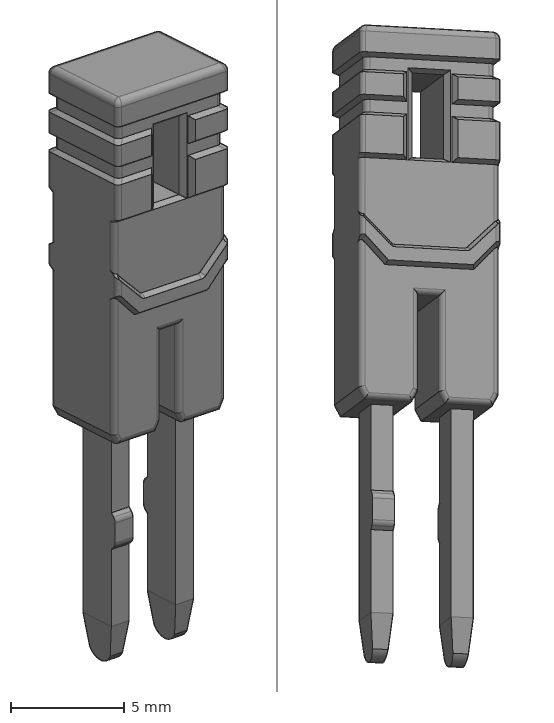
import cadquery as cq

height = 28.2
width_x = 4.9
width_y = 6.4

body_x = 4.4
body_bottom = 11.4
edge_radius = 0.25
leg_corner_width = 0.28
leg_corner_height = 0.5
slot_width = 0.95
slot_top = 16.22

core_y = 5.95
ring_corner_radius = 0.23
flank_height = 0.17
top_radius = 0.35
cap_bottom = 26.93
ring_height = 1.02
groove_gap = 0.9
block_bottom = 22.4

window_width = 1.45
window_bottom = block_bottom
window_top = 26.2
window_flare_side = 0.25
window_flare_end = 0.17
window_flare_depth = 0.25
channel_floor_width = 2.1
channel_mouth_width = 2.48

band_upper_half = 1.6
band_upper_z = 18.55
band_lower_half = 2.1
band_lower_z = 17.3
band_upper_end_z = 19.85
band_lower_end_z = 18.45
band_flank_angle = 33.0

pin_x = 1.97
pin_y = 1.02
pin_offset = 1.83
pin_root = body_bottom + 1.4
tip_start = 2.03
tip_arc_start = 0.45
tip_x = 1.45
tip_y = 0.62
bump_reach = 0.268
bump_bottom = 5.75
bump_top = 7.53
bump_slope = 0.25
bump_radius = 0.35

band_root_x = body_x / 2 - edge_radius
band_rise = width_x / 2 - band_root_x
ring_top = cap_bottom - groove_gap
ring_bottom = ring_top - ring_height
block_top = ring_bottom - groove_gap
body_top = block_bottom - flank_height


def rounded_section(x_size, y_size, radius):
    return cq.Sketch().rect(x_size, y_size).vertices().fillet(radius)


OUTER = rounded_section(width_x, width_y, ring_corner_radius)
CORE = rounded_section(body_x, core_y, edge_radius)
BODY = rounded_section(body_x, width_y, edge_radius)


def column(section, z_low, z_high):
    return cq.Workplane("XY", origin=(0, 0, z_low)).placeSketch(section).extrude(z_high - z_low)


def flank(section_low, section_high, z_low):
    """Sloped transition between two sections, one flank height tall."""
    raised = section_high.moved(cq.Location(cq.Vector(0, 0, flank_height)))
    return cq.Workplane("XY", origin=(0, 0, z_low)).placeSketch(section_low, raised).loft(ruled=True)


def make_body():
    half_y = width_y / 2
    half_slot = slot_width / 2
    corner_z = body_bottom + leg_corner_height
    body = (
        cq.Workplane("YZ", origin=(-body_x / 2, 0, 0))
        .moveTo(-half_y, body_top)
        .lineTo(-half_y, corner_z)
        .lineTo(-half_y + leg_corner_width, body_bottom)
        .lineTo(-half_slot - leg_corner_width, body_bottom)
        .lineTo(-half_slot, corner_z)
        .lineTo(-half_slot, slot_top)
        .lineTo(half_slot, slot_top)
        .lineTo(half_slot, corner_z)
        .lineTo(half_slot + leg_corner_width, body_bottom)
        .lineTo(half_y - leg_corner_width, body_bottom)
        .lineTo(half_y, corner_z)
        .lineTo(half_y, body_top)
        .close()
        .extrude(body_x)
    )
    rim = body.faces("<X or >X").edges()
    rim = rim.filter(lambda edge: edge.Center().z < body_top - flank_height)
    return rim.fillet(edge_radius)


def make_head():
    head = column(CORE, body_top, cap_bottom)
    cap = column(OUTER, cap_bottom, height).faces(">Z").edges().fillet(top_radius)
    head = head.union(cap).union(flank(CORE, OUTER, cap_bottom - flank_height))
    head = head.union(flank(CORE, OUTER, ring_bottom - flank_height))
    head = head.union(column(OUTER, ring_bottom, ring_top))
    head = head.union(flank(OUTER, CORE, ring_top))
    head = head.union(flank(BODY, OUTER, body_top))
    head = head.union(column(OUTER, block_bottom, block_top))
    return head.union(flank(OUTER, CORE, block_top))


def make_window():
    window_height = window_top - window_bottom
    middle = (window_top + window_bottom) / 2
    window = cq.Workplane("XY", origin=(0, 0, middle)).box(width_x, window_width, window_height)
    for side in (-1, 1):
        mouth = (
            cq.Workplane("YZ", origin=(side * (body_x / 2 - window_flare_depth), 0, middle))
            .rect(window_width, window_height)
            .workplane(offset=side * window_flare_depth)
            .rect(window_width + 2 * window_flare_side, window_height + 2 * window_flare_end)
            .loft(ruled=True)
        )
        floor_x = side * body_x / 2
        mouth_x = side * width_x / 2
        channel = (
            cq.Workplane("XY", origin=(0, 0, body_top))
            .moveTo(floor_x, -channel_floor_width / 2)
            .lineTo(mouth_x, -channel_mouth_width / 2)
            .lineTo(mouth_x, channel_mouth_width / 2)
            .lineTo(floor_x, channel_floor_width / 2)
            .close()
            .extrude(cap_bottom - flank_height - body_top)
        )
        window = window.union(mouth).union(channel)
    return window


def make_bands():
    side = width_y / 2
    shoulder = side - edge_radius
    reach = side + 2 * band_rise
    right_half = [
        (band_lower_half, band_lower_z),
        (side, band_lower_end_z),
        (reach, band_lower_end_z),
        (reach, band_upper_end_z),
        (shoulder, band_upper_end_z),
        (band_upper_half, band_upper_z),
    ]
    left_half = [(-y, z) for y, z in reversed(right_half)]
    band = (
        cq.Workplane("YZ", origin=(band_root_x, 0, 0))
        .polyline(right_half + left_half)
        .close()
        .extrude(band_rise, taper=band_flank_angle)
    )
    both = band.union(band.mirror("YZ"))
    return both.intersect(column(OUTER, body_bottom, height))


def make_pin(side):
    """Pin on the given Y side, with its locking bump facing -X on +Y and +X on -Y."""
    half_x = pin_x / 2
    half_y = pin_y / 2
    blade = (
        cq.Workplane("XZ", origin=(0, half_y, 0))
        .moveTo(-half_x, pin_root)
        .lineTo(-half_x, tip_start)
        .lineTo(-tip_x / 2, tip_arc_start)
        .threePointArc((0, 0), (tip_x / 2, tip_arc_start))
        .lineTo(half_x, tip_start)
        .lineTo(half_x, pin_root)
        .close()
        .extrude(pin_y)
    )
    thickness = (
        cq.Workplane("YZ", origin=(-half_x, 0, 0))
        .moveTo(-half_y, pin_root)
        .lineTo(-half_y, tip_start)
        .lineTo(-tip_y / 2, 0)
        .lineTo(tip_y / 2, 0)
        .lineTo(half_y, tip_start)
        .lineTo(half_y, pin_root)
        .close()
        .extrude(pin_x)
    )
    bump_x = -side * half_x
    crest_x = -side * (half_x + bump_reach)
    bump = (
        cq.Workplane("XZ", origin=(0, half_y, 0))
        .moveTo(0, bump_bottom)
        .lineTo(bump_x, bump_bottom)
        .lineTo(crest_x, bump_bottom + bump_slope)
        .lineTo(crest_x, bump_top - bump_slope)
        .lineTo(bump_x, bump_top)
        .lineTo(0, bump_top)
        .close()
        .extrude(pin_y)
    )
    crest_face = "<X" if side > 0 else ">X"
    bump = bump.faces(crest_face).edges("|Y").fillet(bump_radius)
    return blade.intersect(thickness).union(bump).translate((0, side * pin_offset, 0))


result = make_body().union(make_bands()).union(make_head()).cut(make_window())
for pin_side in (-1, 1):
    result = result.union(make_pin(pin_side))